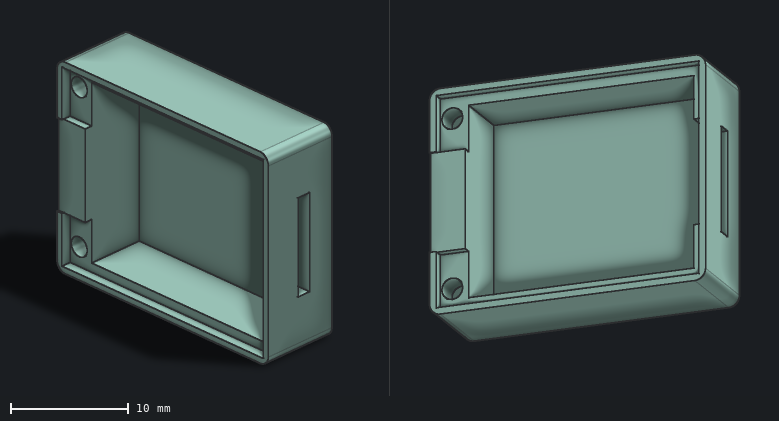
import cadquery as cq

length = 25.35
depth = 7.7
height = 20.3
corner_radius = 1.0

rim_wall = 0.6
ledge_y = 1.0

pocket_left = 3.2
pocket_right_wall = 1.47
pocket_end_wall = 1.5
floor_thickness = 1.0
pocket_back_y = depth - floor_thickness
pocket_right = length - pocket_right_wall

tab_height = 8.97
tab_setback = 0.2

notch_height = 9.5
notch_back_y = 5.0
window_width = 1.4
window_front_y = notch_back_y - window_width

hole_diameter = 1.9
hole_depth = 2.28
hole_x = 1.7
hole_spacing = 15.3


def block(x_start, x_end, y_start, y_end, block_height):
    """Box between the given X and Y limits, centred on Z = 0."""
    return cq.Workplane("XY").box(
        x_end - x_start, y_end - y_start, block_height, centered=(False, False, True)
    ).translate((x_start, y_start, 0))


body = block(0, length, 0, depth, height).edges("|Y").fillet(corner_radius)
recess = block(rim_wall, length - rim_wall, 0, ledge_y, height - 2 * rim_wall)
pocket = block(pocket_left, pocket_right, 0, pocket_back_y, height - 2 * pocket_end_wall)
body = body.cut(recess).cut(pocket)

rim_gap = block(0, rim_wall, 0, tab_setback, tab_height)
tab = block(rim_wall, pocket_left, tab_setback, ledge_y, tab_height)
body = body.cut(rim_gap).union(tab)

notch = block(pocket_right, length - rim_wall, ledge_y, notch_back_y, notch_height)
window = block(pocket_right, length, window_front_y, notch_back_y, notch_height)
body = body.cut(notch).cut(window)

for side in (-1, 1):
    hole = cq.Workplane("XZ", origin=(hole_x, ledge_y, side * hole_spacing / 2))
    body = body.cut(hole.circle(hole_diameter / 2).extrude(-hole_depth))

result = body